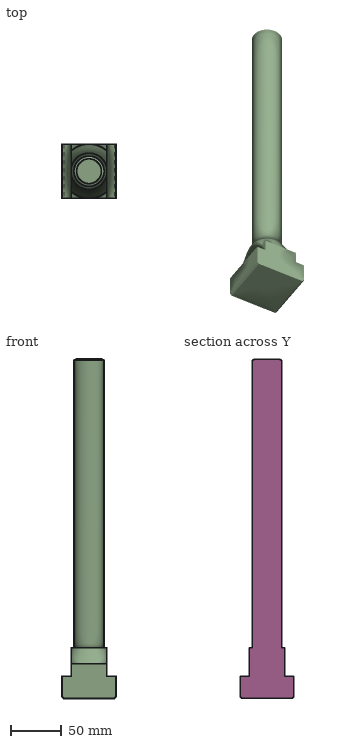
import cadquery as cq

total_height = 337.0
head_width = 54.0

flange_height = 22.2
neck_width = 35.5
shoulder_height = 34.7
bottom_chamfer = 2.0

collar_top_height = 50.5
collar_top_diameter = 36.0

rod_diameter = 30.0
rod_chamfer_length = 1.5
rod_chamfer_depth = 2.7


def make_head():
    """Wide flange with its two lower X edges chamfered, and the narrow neck above."""
    flange = (
        cq.Workplane("XY")
        .box(head_width, head_width, flange_height, centered=(True, True, False))
        .faces("<Z")
        .edges("|Y")
        .chamfer(bottom_chamfer)
    )
    neck = cq.Workplane("XY").box(
        neck_width, head_width, shoulder_height, centered=(True, True, False)
    )
    return flange.union(neck)


def make_collar():
    """Cone from the full head width, cut flat in line with the sides of the neck."""
    cone = cq.Workplane("XY").add(
        cq.Solid.makeCone(
            head_width / 2,
            collar_top_diameter / 2,
            collar_top_height - shoulder_height,
            pnt=cq.Vector(0, 0, shoulder_height),
        )
    )
    neck_envelope = cq.Workplane("XY").box(
        neck_width, head_width, collar_top_height, centered=(True, True, False)
    )
    return cone.intersect(neck_envelope)


def make_rod():
    """Round rod rising from the shoulder, with a chamfered tip."""
    return (
        cq.Workplane("XY")
        .workplane(offset=shoulder_height)
        .circle(rod_diameter / 2)
        .extrude(total_height - shoulder_height)
        .faces(">Z")
        .edges()
        .chamfer(rod_chamfer_length, rod_chamfer_depth)
    )


result = make_head().union(make_collar()).union(make_rod())